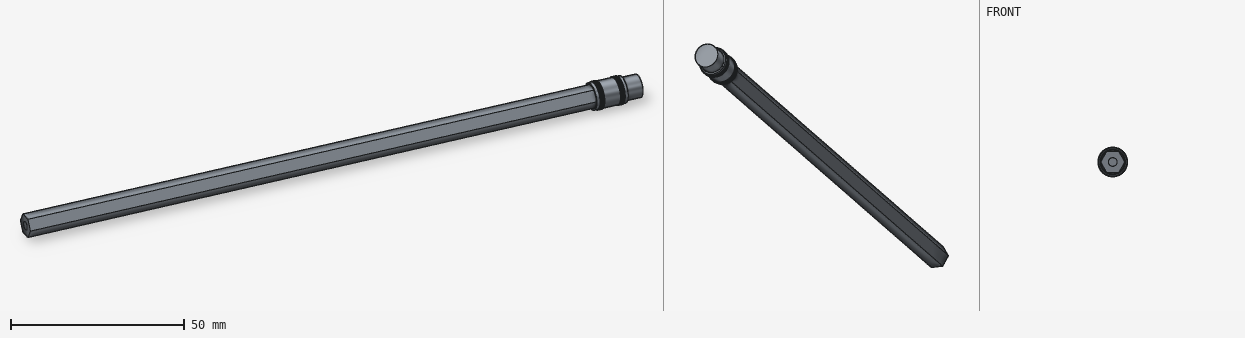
import cadquery as cq

TOTAL_LENGTH = 195.0
ERASER_EXPOSED_LENGTH = 5.0
FERRULE_LENGTH = 10.0
FERRULE_END = TOTAL_LENGTH - ERASER_EXPOSED_LENGTH
FERRULE_START = FERRULE_END - FERRULE_LENGTH

WOOD_LENGTH = FERRULE_START + FERRULE_LENGTH / 2
ERASER_LENGTH = TOTAL_LENGTH - WOOD_LENGTH

WOOD_ACROSS_CORNERS = 7.0
LEAD_DIAMETER = 2.5
ERASER_DIAMETER = 7.0
FERRULE_BORE = 7.2
FERRULE_DIAMETER = 8.2

RIDGE_DIAMETER = 8.6
VALLEY_DIAMETER = 7.98
RIDGE_COUNT = 3
WAVE_WIDTH = 0.3
WAVE_COUNT = 2 * RIDGE_COUNT - 1
CRIMP_WIDTH = WAVE_COUNT * WAVE_WIDTH
CRIMP_MARGIN = 1.0
CRIMP_STARTS = [
    FERRULE_START + CRIMP_MARGIN,
    FERRULE_END - CRIMP_MARGIN - CRIMP_WIDTH,
]


def section_at(y):
    """Workplane across the pencil axis at the given Y, extruding towards +Y."""
    return cq.Workplane(cq.Plane(origin=(0, y, 0), xDir=(1, 0, 0), normal=(0, 1, 0)))


def make_wood():
    """Hexagonal body with flats facing up and down, bored right through for the lead."""
    return (
        section_at(0)
        .polygon(6, WOOD_ACROSS_CORNERS)
        .circle(LEAD_DIAMETER / 2)
        .extrude(WOOD_LENGTH)
    )


def make_lead():
    """Round core filling the bore of the wood, flush at both ends."""
    return section_at(0).circle(LEAD_DIAMETER / 2).extrude(WOOD_LENGTH)


def make_eraser():
    """Plain round plug that starts against the wood inside the ferrule."""
    return section_at(WOOD_LENGTH).circle(ERASER_DIAMETER / 2).extrude(ERASER_LENGTH)


def add_crimp(profile, start):
    """Continue a wall outline through one crimp: arcs that alternate ridge and valley."""
    wall_radius = FERRULE_DIAMETER / 2
    profile = profile.lineTo(wall_radius, start)
    for wave in range(WAVE_COUNT):
        wave_start = start + wave * WAVE_WIDTH
        is_ridge = wave % 2 == 0
        middle_radius = (RIDGE_DIAMETER if is_ridge else VALLEY_DIAMETER) / 2
        profile = profile.threePointArc(
            (middle_radius, wave_start + WAVE_WIDTH / 2),
            (wall_radius, wave_start + WAVE_WIDTH),
        )
    return profile


def make_ferrule():
    """Sleeve turned about the pencil axis, with a crimp near each end."""
    bore_radius = FERRULE_BORE / 2
    wall_radius = FERRULE_DIAMETER / 2

    profile = (
        cq.Workplane("XY")
        .moveTo(bore_radius, FERRULE_START)
        .lineTo(wall_radius, FERRULE_START)
    )
    for start in CRIMP_STARTS:
        profile = add_crimp(profile, start)
    profile = profile.lineTo(wall_radius, FERRULE_END).lineTo(bore_radius, FERRULE_END).close()
    return profile.revolve(360, (0, 0), (0, 1))


wood = make_wood()
lead = make_lead()
eraser = make_eraser()
ferrule = make_ferrule()

result = cq.Compound.makeCompound([wood.val(), lead.val(), eraser.val(), ferrule.val()])